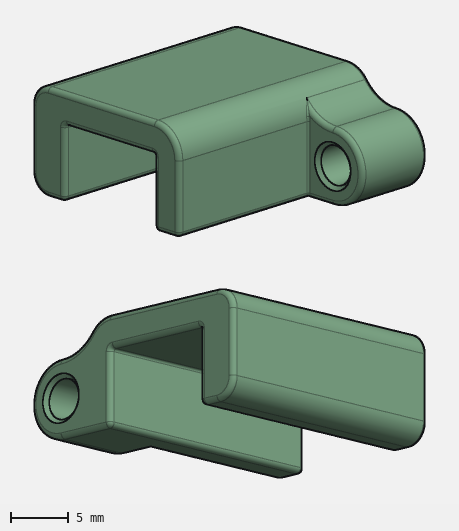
import cadquery as cq
import math

body_length = 23.85
body_height = 10.0
left_wall = 4.0
slot_width = 11.0
right_wall = 3.0
roof = 3.0
left_corner_radius = 2.0
right_corner_radius = 3.0
slot_corner_radius = 0.25
edge_radius = 0.5

total_width = 24.55
lug_radius = 3.55
lug_length = 8.0
hole_diameter = 3.6
hole_chamfer = 0.4
joint_radius = 0.2

overlap = 2.45

slot_left = left_wall
slot_right = slot_left + slot_width
body_width = slot_right + right_wall
slot_top = body_height - roof
lug_x = total_width - lug_radius
lug_z = lug_radius
lug_top = lug_z + lug_radius
lug_front = body_length - lug_length

corner_x = body_width - right_corner_radius
corner_z = body_height - right_corner_radius
neck_run = lug_x - corner_x
neck_rise = lug_top - corner_z
neck_radius = (neck_run**2 + neck_rise**2 - right_corner_radius**2) / (
    2 * (right_corner_radius - neck_rise)
)
neck_z = lug_top + neck_radius
neck_angle = math.atan2(neck_z - corner_z, neck_run)


def on_circle(x, z, radius, angle):
    return (x + radius * math.cos(angle), z + radius * math.sin(angle))


def corner_point(angle):
    return on_circle(corner_x, corner_z, right_corner_radius, angle)


def neck_point(angle):
    return on_circle(lug_x, neck_z, neck_radius, angle)


def left_and_top(y):
    """Start an outline on the XZ plane at y: bottom left, left side and roof."""
    r = left_corner_radius
    mid = r * (1 - math.sqrt(0.5))
    return (
        cq.Workplane("XZ", origin=(0, y, 0))
        .moveTo(r, 0)
        .threePointArc((mid, mid), (0, r))
        .lineTo(0, body_height - r)
        .threePointArc((mid, body_height - mid), (r, body_height))
        .lineTo(corner_x, body_height)
    )


def body_outline(y):
    return (
        left_and_top(y)
        .threePointArc(corner_point(math.pi / 4), corner_point(0))
        .lineTo(body_width, 0)
        .close()
    )


def lug_outline(y):
    neck_end = -math.pi / 2
    neck_start = neck_angle - math.pi
    return (
        left_and_top(y)
        .threePointArc(corner_point((neck_angle + math.pi / 2) / 2), corner_point(neck_angle))
        .threePointArc(neck_point((neck_start + neck_end) / 2), neck_point(neck_end))
        .threePointArc((total_width, lug_z), (lug_x, 0))
        .close()
    )


def slot(front, rear):
    """Channel cutter with rounded upper corners."""
    return (
        cq.Workplane("XY")
        .box(slot_width, rear - front, slot_top, centered=False)
        .translate((slot_left, front, 0))
        .edges("|Y and >Z")
        .fillet(slot_corner_radius)
    )


def bottom_edge(section, x):
    """The edge along Y at the bottom of the section, at the given x."""
    nearest_to_x = cq.selectors.NearestToPointSelector((x, body_length / 2, 0))
    return section.edges("|Y and <Z").edges(nearest_to_x)


def round_edges(section, ends, sharp_x):
    """Round the outlines of the end faces and the sharp bottom edges together."""
    edges = section.faces(ends).edges()
    for x in sharp_x:
        edges = edges.add(bottom_edge(section, x))
    return edges.fillet(edge_radius)


def make_body():
    rear = lug_front + overlap
    body = body_outline(rear).extrude(rear).cut(slot(0, rear))
    return round_edges(body, "<Y", [slot_left, slot_right, body_width])


def make_rear_section():
    section = lug_outline(body_length).extrude(lug_length).cut(slot(lug_front, body_length))
    return round_edges(section, "<Y or >Y", [slot_left, slot_right])


def hole_cutter():
    """Through hole with a chamfer at both mouths."""
    r = hole_diameter / 2
    mouth = r + hole_chamfer
    return (
        cq.Workplane("XY", origin=(lug_x, 0, lug_z))
        .moveTo(0, lug_front)
        .lineTo(mouth, lug_front)
        .lineTo(r, lug_front + hole_chamfer)
        .lineTo(r, body_length - hole_chamfer)
        .lineTo(mouth, body_length)
        .lineTo(0, body_length)
        .close()
        .revolve(360, (0, 0, 0), (0, 1, 0))
    )


def fill_joint(part):
    """Small concave fillet where the front face of the lug meets the side of the body."""
    margin = joint_radius / 2
    joint_box = cq.selectors.BoxSelector(
        (corner_x, lug_front - margin, 0),
        (body_width + margin, lug_front + margin, body_height),
        boundingbox=True,
    )
    return part.edges(joint_box).fillet(joint_radius)


clip = make_body().union(make_rear_section()).cut(hole_cutter())
result = fill_joint(clip)